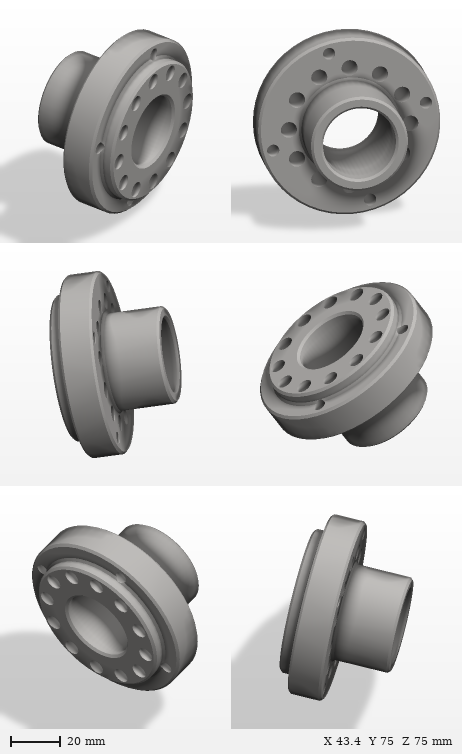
import cadquery as cq

flange_radius = 37.5
flange_thickness = 14.0
hub_radius = 19.95
hub_length = 24.0
spigot_radius = 30.0
spigot_length = 5.4
bore_radius = 15.0
chamfer = 1.0

bolt_hole_count = 12
bolt_hole_diameter = 6.6
bolt_circle_radius = 25.0
pin_hole_count = 4
pin_hole_diameter = 5.0
pin_circle_radius = 32.55
pin_start_angle = 75.0

flange_start = hub_length
flange_end = flange_start + flange_thickness
total_length = flange_end + spigot_length


def turned_body():
    """Revolve the half section: hub, flange and spigot around the bore."""
    section = [
        (0, bore_radius + chamfer),
        (0, hub_radius - chamfer),
        (chamfer, hub_radius),
        (flange_start - chamfer, hub_radius),
        (flange_start, hub_radius + chamfer),
        (flange_start, flange_radius - chamfer),
        (flange_start + chamfer, flange_radius),
        (flange_end - chamfer, flange_radius),
        (flange_end, flange_radius - chamfer),
        (flange_end, spigot_radius + chamfer),
        (flange_end + chamfer, spigot_radius),
        (total_length - chamfer, spigot_radius),
        (total_length, spigot_radius - chamfer),
        (total_length, bore_radius + chamfer),
        (total_length - chamfer, bore_radius),
        (chamfer, bore_radius),
    ]
    return cq.Workplane("XY").polyline(section).close().revolve(360, (0, 0), (1, 0))


def hole_ring(count, diameter, circle_radius, start_angle):
    """Evenly spaced cylinders from the hub side of the flange to the far end."""
    return (
        cq.Workplane("YZ", origin=(flange_start, 0, 0))
        .polarArray(circle_radius, start_angle, 360, count)
        .circle(diameter / 2)
        .extrude(flange_thickness + spigot_length)
    )


bolt_holes = hole_ring(bolt_hole_count, bolt_hole_diameter, bolt_circle_radius, 0)
pin_holes = hole_ring(pin_hole_count, pin_hole_diameter, pin_circle_radius, pin_start_angle)

result = turned_body().cut(bolt_holes).cut(pin_holes)